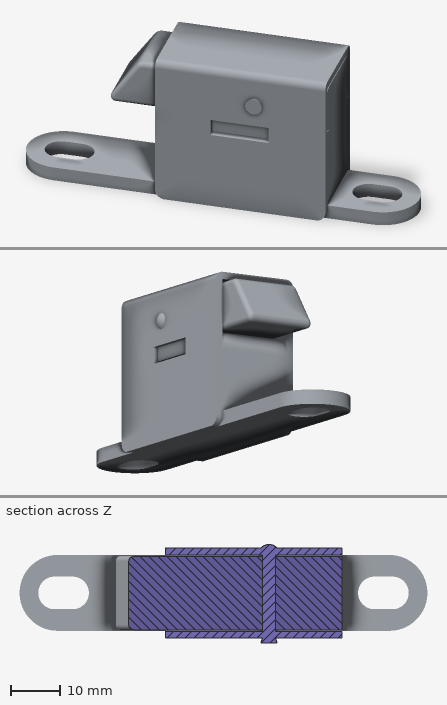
import cadquery as cq
plate_length = 83
plate_width = 15.4
plate_thickness = 3.0
slot_length = 10.3
slot_width = 6.6
slot_offset = 32.5

cover_front = -11.9
cover_length = 36.0
cover_height = 31.8
wall = 1.5
cover_edge_radius = 1.5
cover_foot_radius = 2.0
cover_width = plate_width + 2 * wall
cover_middle = cover_front + cover_length / 2
cover_rear = cover_front + cover_length

block_height = 20.0
block_edge_radius = 4.0

window_middle = 6.0
window_length = 12.3
window_height = 3.5

bolt_width = 15.0
bolt_height = 10
bolt_projection = 10.05
bolt_nose_height = 1.5
bolt_slope_run = 6.1
bolt_edge_radius = 1.0
bolt_crest_radius = 2.0
bolt_tip = cover_front - bolt_projection
bolt_bottom = block_height
bolt_top = bolt_bottom + bolt_height

tab_height = 3.0
tab_width = 16.8
tab_edge_radius = 0.5

rivet_x = 9.2
rivet_z = bolt_bottom + bolt_height / 2
rivet_radius = 1.4
flare_radius = 1.75
flare_length = 1.0
dome_radius = 1.7
dome_height = 0.75


def box_on(x_middle, bottom, length, width, height):
    """Box centred on Y = 0, standing on the given bottom level."""
    base = cq.Workplane("XY", origin=(x_middle, 0, bottom))
    return base.box(length, width, height, centered=(True, True, False))


def make_plate():
    """Strap with round ends and a slotted hole near each end."""
    plate = cq.Workplane("XY").slot2D(plate_length, plate_width).extrude(plate_thickness)
    holes = (
        cq.Workplane("XY")
        .pushPoints([(-slot_offset, 0), (slot_offset, 0)])
        .slot2D(slot_length, slot_width)
        .extrude(plate_thickness)
    )
    return plate.cut(holes)


def make_cover():
    """Channel, open at the bottom and both ends, with rounded top edges and feet."""
    shell = box_on(cover_middle, 0, cover_length, cover_width, cover_height)
    shell = shell.edges("|X and >Z").fillet(cover_edge_radius)
    shell = shell.edges("|Y and <Z").fillet(cover_foot_radius)
    return shell.cut(box_on(cover_middle, 0, cover_length, plate_width, cover_height - wall))


def make_block():
    """Block between the cover walls, rounded under the front of the bolt."""
    block = box_on(cover_middle, 0, cover_length, plate_width, block_height)
    return block.edges("|Y and >Z and <X").fillet(block_edge_radius)


def make_window():
    """Cutter for the opening below the bolt, right across the cover."""
    return box_on(window_middle, block_height - window_height, window_length, cover_width, window_height)


def make_rivet():
    """Rivet turned about its axis, with radius and Y as the profile coordinates."""
    wall_y = cover_width / 2
    dome_sphere_radius = (dome_radius**2 + dome_height**2) / (2 * dome_height)
    profile = (
        cq.Workplane("XY", origin=(rivet_x, 0, rivet_z))
        .moveTo(0, -wall_y - flare_length)
        .lineTo(flare_radius, -wall_y - flare_length)
        .lineTo(rivet_radius, -wall_y)
        .lineTo(rivet_radius, wall_y)
        .lineTo(dome_radius, wall_y)
        .radiusArc((0, wall_y + dome_height), -dome_sphere_radius)
        .close()
    )
    return profile.revolve(360, (0, 0, 0), (0, 1, 0))


def make_housing():
    """Plate, cover, block and rivet as one solid; the flush faces stay separate."""
    housing = make_cover().union(make_block(), clean=False)
    housing = housing.union(make_plate(), clean=False)
    housing = housing.cut(make_window(), clean=False)
    return housing.union(make_rivet(), clean=False).solids()


def make_bolt():
    """Bevelled bolt with rounded edges, a tab below and a hole for the rivet."""
    bolt = (
        cq.Workplane("XZ", origin=(0, bolt_width / 2, 0))
        .moveTo(bolt_tip, bolt_bottom)
        .lineTo(cover_rear, bolt_bottom)
        .lineTo(cover_rear, bolt_top)
        .lineTo(bolt_tip + bolt_slope_run, bolt_top)
        .lineTo(bolt_tip, bolt_bottom + bolt_nose_height)
        .close()
        .extrude(bolt_width)
    )

    bolt = bolt.faces(">Z").edges("<X").fillet(bolt_crest_radius)
    bolt = bolt.faces("<X").edges("|Y").fillet(bolt_edge_radius)
    bolt = bolt.faces("<Y or >Y").edges("not >X").fillet(bolt_edge_radius)

    tab = box_on(window_middle, bolt_bottom - tab_height, window_length, tab_width, tab_height)
    tab = tab.edges("|Z").fillet(tab_edge_radius)

    rivet_hole = (
        cq.Workplane("XZ", origin=(rivet_x, bolt_width / 2, rivet_z))
        .circle(rivet_radius)
        .extrude(bolt_width)
    )
    return bolt.union(tab).cut(rivet_hole).solids()


housing = make_housing()
bolt = make_bolt()
result = cq.Compound.makeCompound([housing.val(), bolt.val()])